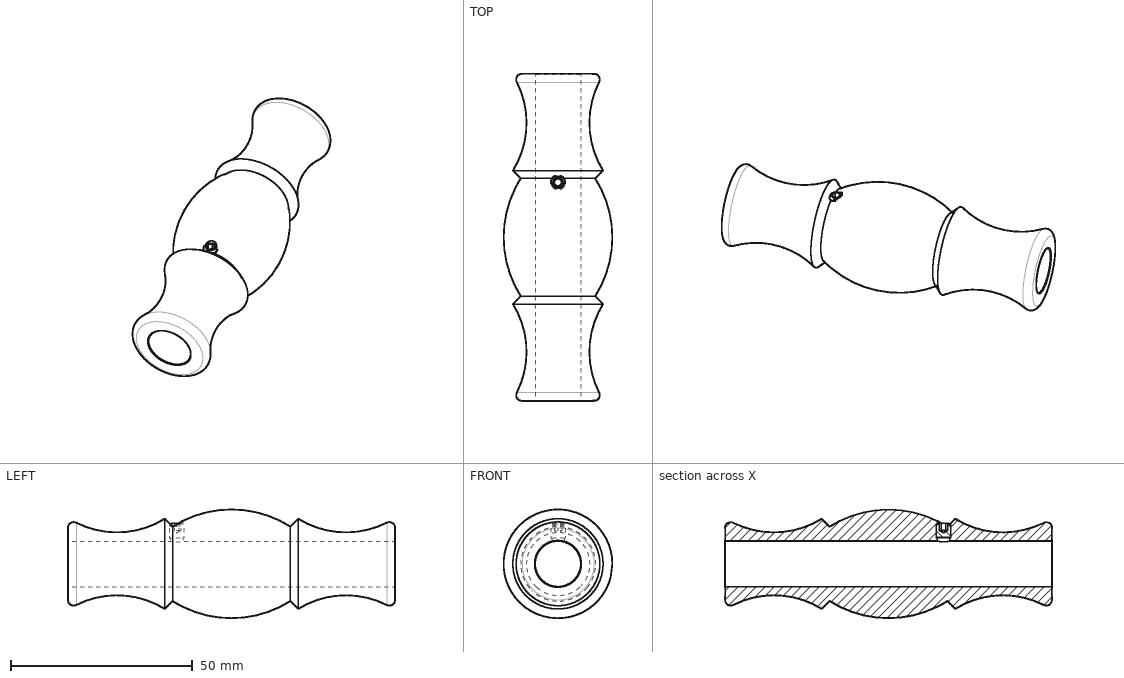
import cadquery as cq
import math

length = 90.0
bore_diameter = 12.5
barrel_diameter = 30.0
ridge_diameter = 24.8
ridge_y = 18.4
ridge_flank = 2.2
neck_diameter = 17.4
end_diameter = 25.4
end_fillet = 1.6
bore_chamfer = 0.2

screw_y = 15.1
screw_diameter = 4.0
screw_top = 11.2
screw_length = 4.0
screw_chamfer = 0.6
access_diameter = 3.3
socket_sides = 6
socket_across_flats = 2.0
socket_depth = 2.0
drill_point_angle = 120.0

half_length = length / 2
bore_radius = bore_diameter / 2
ridge_radius = ridge_diameter / 2
barrel_end_y = ridge_y - ridge_flank
barrel_end_radius = ridge_radius - ridge_flank

end_radius = end_diameter / 2
neck_y = (ridge_y + half_length) / 2


def make_handle_blank():
    """Turned handle with its bore, before the screw hole is made."""
    profile = (
        cq.Workplane("XY")
        .moveTo(bore_radius, -half_length)
        .lineTo(end_radius, -half_length)
        .threePointArc((neck_diameter / 2, -neck_y), (ridge_radius, -ridge_y))
        .lineTo(barrel_end_radius, -barrel_end_y)
        .threePointArc((barrel_diameter / 2, 0), (barrel_end_radius, barrel_end_y))
        .lineTo(ridge_radius, ridge_y)
        .threePointArc((neck_diameter / 2, neck_y), (end_radius, half_length))
        .lineTo(bore_radius, half_length)
        .close()
    )
    blank = profile.revolve(360, (0, 0, 0), (0, 1, 0))
    end_rims = blank.faces("<Y or >Y").edges(cq.selectors.RadiusNthSelector(-1))
    blank = end_rims.fillet(end_fillet)
    bore_edges = blank.faces("<Y or >Y").edges(cq.selectors.RadiusNthSelector(0))
    return bore_edges.chamfer(bore_chamfer)


def make_screw_blank():
    """Plain screw body, chamfered at the top, without its socket."""
    return (
        cq.Workplane("XY", origin=(0, screw_y, screw_top - screw_length))
        .circle(screw_diameter / 2)
        .extrude(screw_length)
        .faces(">Z")
        .chamfer(screw_chamfer)
    )


def make_screw():
    """Headless set screw with a hexagon socket that ends in a drill point."""
    socket_diameter = socket_across_flats / math.cos(math.pi / socket_sides)
    socket = (
        cq.Workplane(cq.Plane(origin=(0, screw_y, screw_top), xDir=(0, 1, 0), normal=(0, 0, 1)))
        .polygon(socket_sides, socket_diameter)
        .extrude(-socket_depth)
    )
    point_radius = socket_across_flats / 2
    point_depth = point_radius / math.tan(math.radians(drill_point_angle / 2))
    point_top = cq.Vector(0, screw_y, screw_top - socket_depth)
    point = cq.Workplane(cq.Solid.makeCone(point_radius, 0, point_depth, point_top, cq.Vector(0, 0, -1)))
    return make_screw_blank().cut(socket).cut(point)


def make_handle():
    """Handle with a radial hole from the bore, widened where the screw sits."""
    access_hole = (
        cq.Workplane("XY", origin=(0, screw_y, 0))
        .circle(access_diameter / 2)
        .extrude(barrel_diameter / 2)
    )
    return make_handle_blank().cut(access_hole).cut(make_screw_blank())


handle = make_handle()
screw = make_screw()
result = cq.Compound.makeCompound([handle.solids().val(), screw.solids().val()])